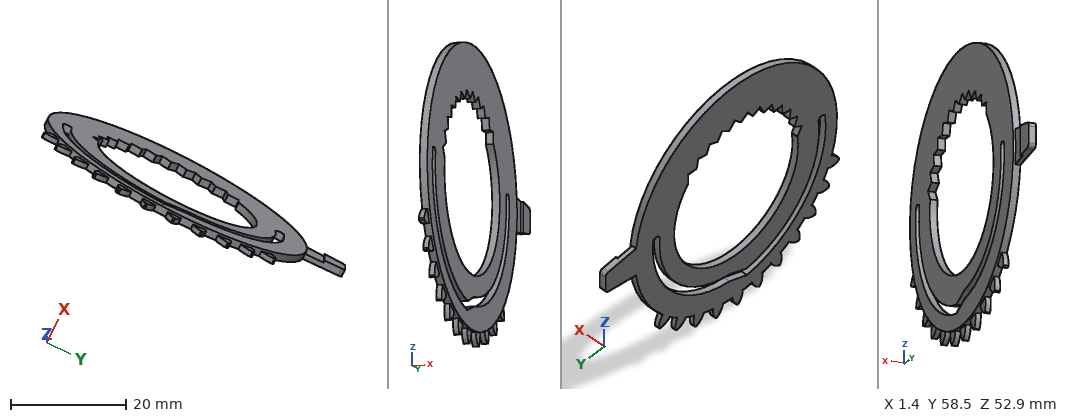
import cadquery as cq
import math

THICKNESS = 1.4
THIN_THICKNESS = 1.0
DISC_RADIUS = 25.25
BORE_RADIUS = 15.5

TOOTH_COUNT = 11
TOOTH_PITCH = 11.2
FIRST_TOOTH_ANGLE = 201.9
TOOTH_TIP_RADIUS = 27.7
TOOTH_FLANK_RADIUS = 26.65
TOOTH_ROOT_WIDTH = 2.6
TOOTH_FLANK_WIDTH = 1.85
TOOTH_TIP_WIDTH = 0.35
TOOTH_OVERLAP = 0.6

NOTCH_COUNT = 12
NOTCH_PITCH = 11.0
FIRST_NOTCH_ANGLE = 45.0
NOTCH_TIP_RADIUS = 16.9
NOTCH_LENGTH = 2.35

SLOT_WIDTH = 1.65
SLOT_NEAR_RADIUS = 21.55
SLOT_FAR_RADIUS = 20.0
SLOT_NEAR_START = 173.8
SLOT_NEAR_END = 263.1
SLOT_FAR_START = 274.6
SLOT_FAR_END = 364.7

TAB_END = 32.7
TAB_ROOT = 25.1
TAB_ROOT_WIDTH = 6.45
TAB_END_WIDTH = 4.5
TAB_INSIDE = 20.45
TAB_CORNER_RADIUS = 0.8
TAB_PAD_START = 28.65


def polar(radius, angle):
    """Point of the plate plane at a radius and an angle."""
    return (radius * math.cos(math.radians(angle)), radius * math.sin(math.radians(angle)))


def plate_plane():
    return cq.Workplane("YZ")


def make_tooth():
    """Tooth pointing along +Y, with curved flanks."""
    root_y = math.sqrt(DISC_RADIUS**2 - (TOOTH_ROOT_WIDTH / 2) ** 2)
    root_z = TOOTH_ROOT_WIDTH / 2
    flank_z = TOOTH_FLANK_WIDTH / 2
    tip_z = TOOTH_TIP_WIDTH / 2
    return (
        plate_plane()
        .moveTo(root_y - TOOTH_OVERLAP, -root_z)
        .lineTo(root_y, -root_z)
        .threePointArc((TOOTH_FLANK_RADIUS, -flank_z), (TOOTH_TIP_RADIUS, -tip_z))
        .lineTo(TOOTH_TIP_RADIUS, tip_z)
        .threePointArc((TOOTH_FLANK_RADIUS, flank_z), (root_y, root_z))
        .lineTo(root_y - TOOTH_OVERLAP, root_z)
        .close()
        .extrude(THIN_THICKNESS)
    )


def make_notch():
    """Right-angled notch cutter pointing along +Y."""
    base_y = NOTCH_TIP_RADIUS - NOTCH_LENGTH
    return (
        plate_plane()
        .polyline([(NOTCH_TIP_RADIUS, 0), (base_y, NOTCH_LENGTH), (base_y, -NOTCH_LENGTH)])
        .close()
        .extrude(THICKNESS)
    )


def turned(shape, angle):
    return shape.rotate((0, 0, 0), (1, 0, 0), angle)


def make_tab():
    """Tapered tab along +Y, thinned at its neck from the rear side."""
    slope = (TAB_ROOT_WIDTH - TAB_END_WIDTH) / 2 / (TAB_END - TAB_ROOT)
    inside_z = TAB_ROOT_WIDTH / 2 + slope * (TAB_ROOT - TAB_INSIDE)
    end_z = TAB_END_WIDTH / 2
    tab = (
        plate_plane()
        .polyline([(TAB_INSIDE, -inside_z), (TAB_END, -end_z), (TAB_END, end_z), (TAB_INSIDE, inside_z)])
        .close()
        .extrude(THICKNESS)
        .edges("|X and >Y")
        .fillet(TAB_CORNER_RADIUS)
    )
    recess = (
        plate_plane()
        .workplane(offset=THIN_THICKNESS)
        .center((TAB_INSIDE + TAB_PAD_START) / 2, 0)
        .rect(TAB_PAD_START - TAB_INSIDE, 2 * inside_z)
        .extrude(THICKNESS - THIN_THICKNESS)
    )
    return tab.cut(recess)


def make_slot():
    """Cutter of the cam slot, with round ends."""
    half = SLOT_WIDTH / 2
    near_middle = (SLOT_NEAR_START + SLOT_NEAR_END) / 2
    far_middle = (SLOT_FAR_START + SLOT_FAR_END) / 2
    near_inner = SLOT_NEAR_RADIUS - half
    near_outer = SLOT_NEAR_RADIUS + half
    far_inner = SLOT_FAR_RADIUS - half
    far_outer = SLOT_FAR_RADIUS + half
    channel = (
        plate_plane()
        .moveTo(*polar(near_outer, SLOT_NEAR_START))
        .threePointArc(polar(near_outer, near_middle), polar(near_outer, SLOT_NEAR_END))
        .lineTo(*polar(far_outer, SLOT_FAR_START))
        .threePointArc(polar(far_outer, far_middle), polar(far_outer, SLOT_FAR_END))
        .lineTo(*polar(far_inner, SLOT_FAR_END))
        .threePointArc(polar(far_inner, far_middle), polar(far_inner, SLOT_FAR_START))
        .lineTo(*polar(near_inner, SLOT_NEAR_END))
        .threePointArc(polar(near_inner, near_middle), polar(near_inner, SLOT_NEAR_START))
        .close()
        .extrude(THICKNESS)
    )
    end_centres = [polar(SLOT_NEAR_RADIUS, SLOT_NEAR_START), polar(SLOT_FAR_RADIUS, SLOT_FAR_END)]
    round_ends = plate_plane().pushPoints(end_centres).circle(half).extrude(THICKNESS)
    return channel.union(round_ends)


plate = make_tab().union(plate_plane().circle(DISC_RADIUS).extrude(THICKNESS))

tooth = make_tooth()
for index in range(TOOTH_COUNT):
    plate = plate.union(turned(tooth, FIRST_TOOTH_ANGLE + index * TOOTH_PITCH))

plate = plate.cut(plate_plane().circle(BORE_RADIUS).extrude(THICKNESS))

notch = make_notch()
for index in range(NOTCH_COUNT):
    plate = plate.cut(turned(notch, FIRST_NOTCH_ANGLE + index * NOTCH_PITCH))

result = plate.cut(make_slot())